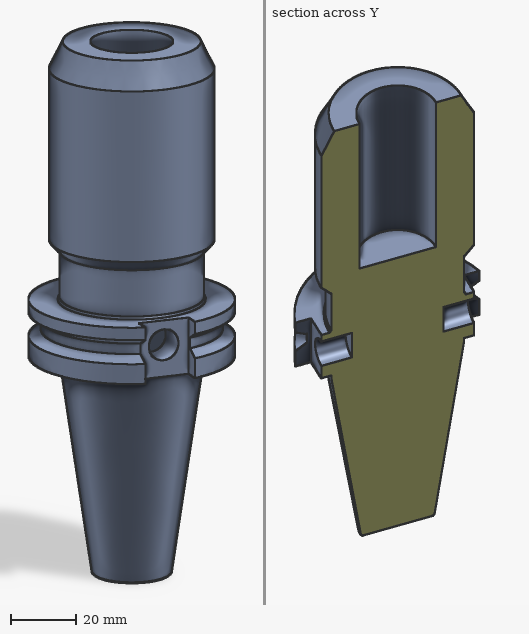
import cadquery as cq
import math

total_height = 169.8
gauge_height = 68.5
flange_bottom = 69.5
flange_top = 87.5
neck_top = 103.1
body_bottom = 106.7
nose_chamfer_height = 8.7

gauge_radius = 22.3
flange_radius = 31.8
body_radius = 25.5
nose_radius = 21.2
bore_radius = 12.7

taper_slope = 7 / 48
tip_chamfer = 0.5
neck_flare_height = 0.8
neck_flare = 0.5

groove_center = 79.7
groove_root_radius = 28.0
groove_root_width = 3.4
groove_flank_angle = 30

slot_width = 16.5
slot_floor = 25.5
slot_hole_radius = 5.0
slot_hole_depth = 10.2

bore_depth = 59.5


def revolved_body():
    """Shank, flange, neck and head turned about the Z axis."""
    tip_radius = gauge_radius - gauge_height * taper_slope
    groove_depth = flange_radius - groove_root_radius
    root_half = groove_root_width / 2
    mouth_half = root_half + groove_depth * math.tan(math.radians(groove_flank_angle))
    profile = [
        (0, 0),
        (tip_radius - tip_chamfer, 0),
        (tip_radius + tip_chamfer * taper_slope, tip_chamfer),
        (gauge_radius, gauge_height),
        (gauge_radius, flange_bottom),
        (flange_radius, flange_bottom),
        (flange_radius, groove_center - mouth_half),
        (groove_root_radius, groove_center - root_half),
        (groove_root_radius, groove_center + root_half),
        (flange_radius, groove_center + mouth_half),
        (flange_radius, flange_top),
        (gauge_radius + neck_flare, flange_top),
        (gauge_radius, flange_top + neck_flare_height),
        (gauge_radius, neck_top),
        (body_radius, body_bottom),
        (body_radius, total_height - nose_chamfer_height),
        (nose_radius, total_height),
        (0, total_height),
    ]
    return cq.Workplane("XZ").polyline(profile).close().revolve(360, (0, 0), (0, 1))


def tool_bore():
    """Blind cylindrical bore in the top face."""
    return (
        cq.Workplane("XY", origin=(0, 0, total_height))
        .circle(bore_radius)
        .extrude(-bore_depth)
    )


def drive_slot(side):
    """Slot through the flange height with a blind hole in its floor; side is -1 or 1."""
    slot_depth = flange_radius - slot_floor
    slot = cq.Workplane("XY").box(
        slot_depth, slot_width, flange_top - flange_bottom
    ).translate((side * (slot_floor + slot_depth / 2), 0, (flange_bottom + flange_top) / 2))
    hole = (
        cq.Workplane("YZ", origin=(side * slot_floor, 0, groove_center))
        .circle(slot_hole_radius)
        .extrude(-side * slot_hole_depth)
    )
    return slot.union(hole)


result = revolved_body().cut(tool_bore())
for side in (-1, 1):
    result = result.cut(drive_slot(side))